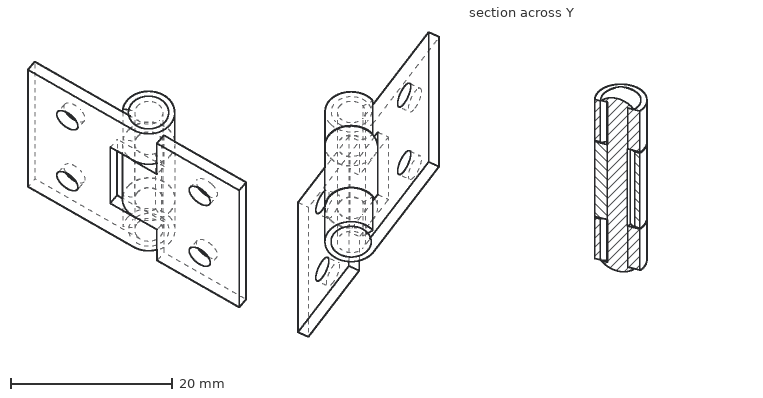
import cadquery as cq
import math

hinge_width = 32.0
leaf_height = 25.0
leaf_thickness = 1.5
barrel_diameter = 6.5
curl_end_angle = 205.5
tongue_height = 11.8
knuckle_gap = 0.1
barrel_clearance = 0.3
screw_hole_diameter = 3.2
screw_hole_x = 10.0
screw_hole_z = 6.5
head_diameter = 5.0
head_height = 1.25

half_width = hinge_width / 2
barrel_radius = barrel_diameter / 2
bore_radius = barrel_radius - leaf_thickness
plate_edge_x = barrel_radius + barrel_clearance
notch_height = tongue_height + 2 * knuckle_gap
outer_knuckle_height = (leaf_height - notch_height) / 2
outer_knuckle_z = (leaf_height - outer_knuckle_height) / 2


def polar(radius, angle):
    """Point at a radius and angle (degrees) about the hinge axis."""
    return radius * math.cos(math.radians(angle)), radius * math.sin(math.radians(angle))


def make_knuckle(height, center_z):
    """Strip running from -X to the hinge axis, then curled around the pin."""
    curl_middle_angle = (curl_end_angle - 90) / 2
    return (
        cq.Workplane("XY", origin=(0, 0, center_z - height / 2))
        .moveTo(-plate_edge_x, -barrel_radius)
        .lineTo(0, -barrel_radius)
        .threePointArc(polar(barrel_radius, curl_middle_angle), polar(barrel_radius, curl_end_angle))
        .lineTo(*polar(bore_radius, curl_end_angle))
        .threePointArc(polar(bore_radius, curl_middle_angle), (0, -bore_radius))
        .lineTo(-plate_edge_x, -bore_radius)
        .close()
        .extrude(height)
    )


def make_leaf(knuckles):
    """Flat plate on the -X side with two screw holes, joined to (height, center z) knuckles."""
    leaf = cq.Workplane("XY").box(
        half_width - plate_edge_x, leaf_thickness, leaf_height, centered=(False, False, True)
    ).translate((-half_width, -barrel_radius, 0))
    for height, center_z in knuckles:
        leaf = leaf.union(make_knuckle(height, center_z))
    screw_holes = (
        cq.Workplane("XZ")
        .pushPoints([(-screw_hole_x, -screw_hole_z), (-screw_hole_x, screw_hole_z)])
        .circle(screw_hole_diameter / 2)
        .extrude(barrel_diameter)
    )
    return leaf.cut(screw_holes)


def make_pin():
    """Shank filling the bore, with a domed head against each end of the barrel."""
    half_length = leaf_height / 2
    tip_z = half_length + head_height
    head_radius = head_diameter / 2
    dome_radius = (head_radius**2 + head_height**2) / (2 * head_height)
    dome_center_z = tip_z - dome_radius
    dome_middle_angle = (math.degrees(math.acos(head_radius / dome_radius)) + 90) / 2
    arc_x, arc_z = polar(dome_radius, dome_middle_angle)
    arc_z += dome_center_z
    return (
        cq.Workplane("XZ")
        .moveTo(0, -tip_z)
        .threePointArc((arc_x, -arc_z), (head_radius, -half_length))
        .lineTo(bore_radius, -half_length)
        .lineTo(bore_radius, half_length)
        .lineTo(head_radius, half_length)
        .threePointArc((arc_x, arc_z), (0, tip_z))
        .close()
        .revolve(360, (0, 0, 0), (0, 1, 0))
    )


left_leaf = make_leaf([(outer_knuckle_height, -outer_knuckle_z), (outer_knuckle_height, outer_knuckle_z)])
right_leaf = make_leaf([(tongue_height, 0)]).mirror("YZ")
pin = make_pin()

result = cq.Compound.makeCompound([left_leaf.solids().val(), right_leaf.solids().val(), pin.val()])